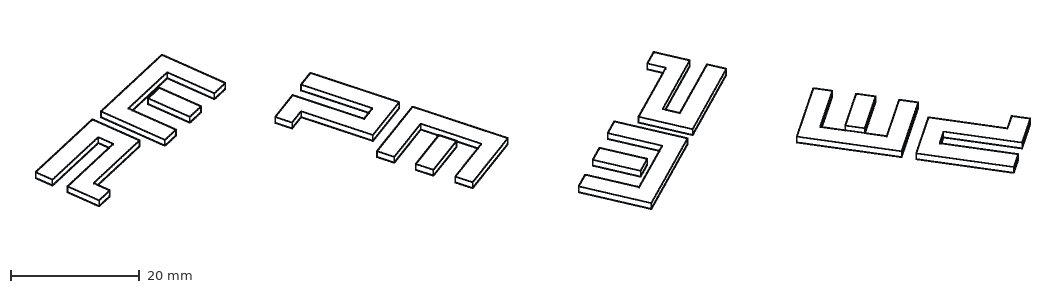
import cadquery as cq

thickness = 1.2
total_length = 34.52
total_width = 12.1
short_width = 12.0
arm_width = 3.05

c_length = 16.67
c_spine_width = 3.1

bar_length = 7.9
bar_width = 3.1

hook_length = 15.55
hook_left_leg_width = 3.2
hook_slot_width = 2.83
hook_right_leg_width = 2.9
hook_foot_height = 2.97

c_top = total_length
c_bottom = c_top - c_length
bar_center_y = (c_top + c_bottom) / 2


def plate(outline):
    """Extrude a closed outline, lying on Z = 0, to the plate thickness."""
    return cq.Workplane("XY").polyline(outline).close().extrude(thickness)


def make_c_plate():
    """C open towards +X, with its lower arm slightly longer than the upper."""
    return plate([
        (0, c_bottom),
        (total_width, c_bottom),
        (total_width, c_bottom + arm_width),
        (c_spine_width, c_bottom + arm_width),
        (c_spine_width, c_top - arm_width),
        (short_width, c_top - arm_width),
        (short_width, c_top),
        (0, c_top),
    ])


def make_bar():
    """Bar centred between the C arms, ending flush with the lower arm."""
    return (
        cq.Workplane("XY")
        .box(bar_length, bar_width, thickness, centered=(False, True, False))
        .translate((total_width - bar_length, bar_center_y, 0))
    )


def make_hook_plate():
    """Two legs joined at the top, with a foot turned out from the right leg."""
    slot_left = hook_left_leg_width
    slot_right = slot_left + hook_slot_width
    slot_top = hook_length - arm_width
    leg_right = slot_right + hook_right_leg_width
    return plate([
        (0, 0),
        (slot_left, 0),
        (slot_left, slot_top),
        (slot_right, slot_top),
        (slot_right, 0),
        (short_width, 0),
        (short_width, hook_foot_height),
        (leg_right, hook_foot_height),
        (leg_right, hook_length),
        (0, hook_length),
    ])


c_plate = make_c_plate()
bar = make_bar()
hook_plate = make_hook_plate()

result = cq.Compound.makeCompound([c_plate.val(), bar.val(), hook_plate.val()])